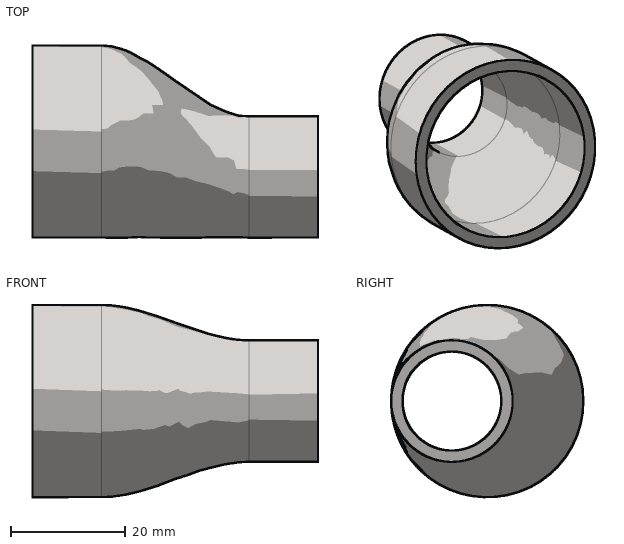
import cadquery as cq

total_length = 50.0
end_length = 12.1
large_diameter = 33.7
small_diameter = 21.3
wall = 2.0

transition_length = total_length - 2 * end_length
axis_offset = (large_diameter - small_diameter) / 2
section_count = 13


def smooth_step(t):
    """Blend from 0 to 1 that is level at both ends."""
    return t * t * (3 - 2 * t)


def pipe_end(x_start, diameter, y_center):
    """Solid cylinder for one straight end."""
    return (
        cq.Workplane("YZ", origin=(x_start, y_center, 0))
        .circle(diameter / 2)
        .extrude(end_length)
    )


def transition(start_diameter, end_diameter):
    """Solid S-shaped loft between the two straight ends."""
    sections = []
    for i in range(section_count):
        t = i / (section_count - 1)
        blend = smooth_step(t)
        diameter = start_diameter + blend * (end_diameter - start_diameter)
        center = cq.Vector(end_length + t * transition_length, -blend * axis_offset, 0)
        sections.append(cq.Wire.makeCircle(diameter / 2, center, cq.Vector(1, 0, 0)))
    return cq.Workplane(cq.Solid.makeLoft(sections))


def reducer_body(start_diameter, end_diameter):
    """Full-length solid reducer with the given end diameters."""
    large_end = pipe_end(0, start_diameter, 0)
    small_end = pipe_end(total_length - end_length, end_diameter, -axis_offset)
    return large_end.union(transition(start_diameter, end_diameter)).union(small_end)


outside = reducer_body(large_diameter, small_diameter)
bore = reducer_body(large_diameter - 2 * wall, small_diameter - 2 * wall)
result = outside.cut(bore)